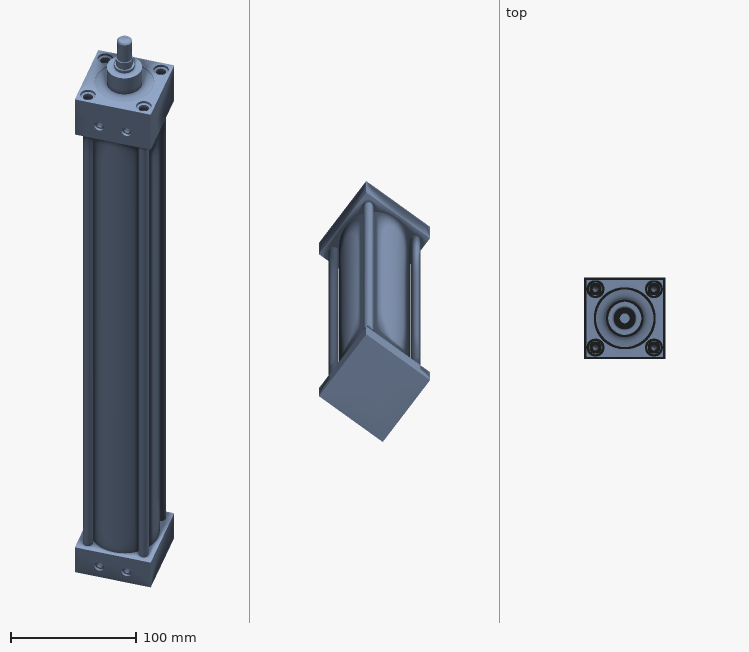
import cadquery as cq
import math

OVERALL_LENGTH = 543.0
CAP_WIDTH = 63.5

REAR_CAP_HEIGHT = 26.0
FRONT_CAP_BOTTOM = 461.0
FRONT_CAP_TOP = 498.0

BARREL_LENGTH = FRONT_CAP_BOTTOM - REAR_CAP_HEIGHT
BARREL_DIAMETER = 56.5
TIE_ROD_DIAMETER = 8.0
TIE_ROD_OFFSET = 23.5

BOSS_DIAMETER = 28.0
BOSS_TOP = 514.0
RECESS_DIAMETER = 48.0
RECESS_DEPTH = 0.5

COUNTERBORE_DIAMETER = 12.5
COUNTERBORE_DEPTH = 2.0
THREAD_DIAMETER = TIE_ROD_DIAMETER
THREAD_DEPTH = 8.0
PILOT_DIAMETER = 6.5
PILOT_DEPTH = 11.0
DRILL_POINT_ANGLE = 118

PORT_DIAMETER = 8.0
PORT_DEPTH = 2.0
PORT_PILOT_DIAMETER = 5.5
PORT_PILOT_DEPTH = 11.0
PORT_OFFSET = 11.5
REAR_PORT_HEIGHT = 11.0
FRONT_PORT_HEIGHT = 474.5

ROD_DIAMETER = 16.0
ROD_TOP = 517.0
NECK_DIAMETER = 13.5
NECK_TOP = 524.0
FLATS_WIDTH = 12.5
STUD_DIAMETER = 12.0
STUD_CHAMFER = 1.0


def cylinder(diameter, bottom, top):
    return cq.Workplane("XY").workplane(offset=bottom).circle(diameter / 2).extrude(top - bottom)


def cap(bottom, top):
    return cq.Workplane("XY").workplane(offset=bottom).rect(CAP_WIDTH, CAP_WIDTH).extrude(top - bottom)


def drilled_hole(steps):
    """Blind hole down from the origin: (diameter, depth) steps from the mouth, then a drill point."""
    profile = cq.Workplane("XZ")
    step_top = 0
    for diameter, depth in steps:
        profile = profile.lineTo(diameter / 2, -step_top).lineTo(diameter / 2, -depth)
        step_top = depth
    last_diameter, last_depth = steps[-1]
    point_height = last_diameter / 2 / math.tan(math.radians(DRILL_POINT_ANGLE / 2))
    profile = profile.lineTo(0, -last_depth - point_height).close()
    return profile.revolve(360, (0, 0), (0, 1))


def mounting_hole(x, y):
    steps = [
        (COUNTERBORE_DIAMETER, COUNTERBORE_DEPTH),
        (THREAD_DIAMETER, THREAD_DEPTH),
        (PILOT_DIAMETER, PILOT_DEPTH),
    ]
    return drilled_hole(steps).translate((x, y, FRONT_CAP_TOP))


def port(x, height):
    hole = drilled_hole([(PORT_DIAMETER, PORT_DEPTH), (PORT_PILOT_DIAMETER, PORT_PILOT_DEPTH)])
    return hole.rotate((0, 0, 0), (1, 0, 0), 90).translate((x, -CAP_WIDTH / 2, height))


def make_housing():
    body = cap(0, REAR_CAP_HEIGHT).union(cap(FRONT_CAP_BOTTOM, FRONT_CAP_TOP))
    body = body.union(cylinder(BARREL_DIAMETER, REAR_CAP_HEIGHT, FRONT_CAP_BOTTOM))
    tie_rod_span = 2 * TIE_ROD_OFFSET
    tie_rods = (
        cq.Workplane("XY")
        .workplane(offset=REAR_CAP_HEIGHT)
        .rect(tie_rod_span, tie_rod_span, forConstruction=True)
        .vertices()
        .circle(TIE_ROD_DIAMETER / 2)
        .extrude(BARREL_LENGTH)
    )
    body = body.union(tie_rods)

    body = body.cut(cylinder(RECESS_DIAMETER, FRONT_CAP_TOP - RECESS_DEPTH, FRONT_CAP_TOP))
    body = body.union(cylinder(BOSS_DIAMETER, FRONT_CAP_BOTTOM, BOSS_TOP))
    body = body.cut(cylinder(ROD_DIAMETER, FRONT_CAP_BOTTOM, BOSS_TOP))

    for x in (-TIE_ROD_OFFSET, TIE_ROD_OFFSET):
        for y in (-TIE_ROD_OFFSET, TIE_ROD_OFFSET):
            body = body.cut(mounting_hole(x, y))
    for height in (REAR_PORT_HEIGHT, FRONT_PORT_HEIGHT):
        for x in (-PORT_OFFSET, PORT_OFFSET):
            body = body.cut(port(x, height))
    return body


def make_piston_rod():
    rod = cylinder(ROD_DIAMETER, FRONT_CAP_BOTTOM, ROD_TOP)
    between_flats = cq.Workplane("XY").workplane(offset=ROD_TOP).rect(FLATS_WIDTH, NECK_DIAMETER)
    neck = cylinder(NECK_DIAMETER, ROD_TOP, NECK_TOP)
    neck = neck.intersect(between_flats.extrude(NECK_TOP - ROD_TOP))
    stud = cylinder(STUD_DIAMETER, NECK_TOP, OVERALL_LENGTH).faces(">Z").chamfer(STUD_CHAMFER)
    return rod.union(neck).union(stud)


housing = make_housing()
piston_rod = make_piston_rod()
result = cq.Compound.makeCompound([housing.solids().val(), piston_rod.solids().val()])